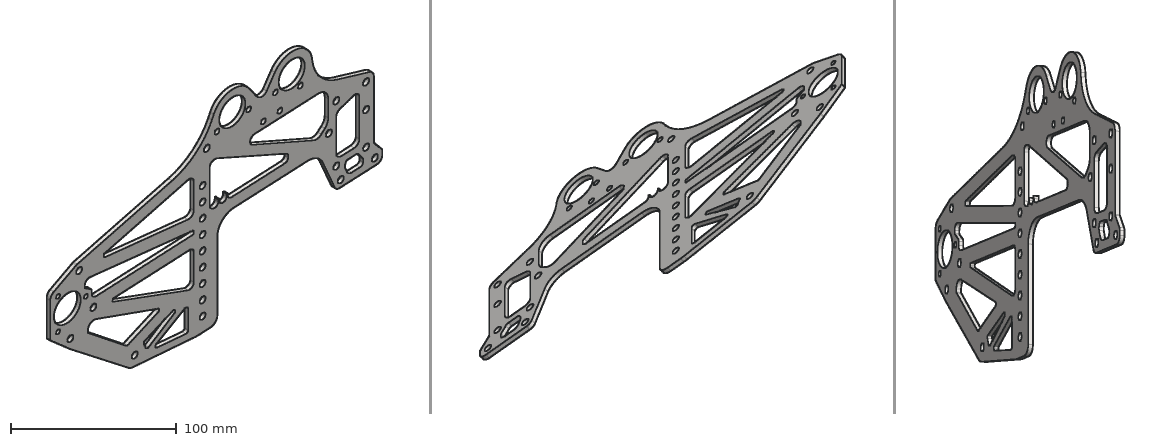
import cadquery as cq
import math

LENGTH = 283.88
HEIGHT = 174.53
THICKNESS = 3.17
FRONT = -LENGTH / 2
REAR = LENGTH / 2
TOP = HEIGHT / 2
BOTTOM = -HEIGHT / 2

SMALL_HOLE = 3.45
MEDIUM_HOLE = 4.04
SPINE_HOLE = 4.98
BRACKET_HOLE = 5.11
LUG_BORE = 22.23
REAR_BORE = 22.86

SAME_POINT = 1e-6

PITCH = 12.7

SPINE_U = 11.7
SPINE_HOLE_COUNT = 9
SPINE_TOP_V = BOTTOM + SPINE_HOLE_COUNT * PITCH
SPINE_FRONT_EDGE = SPINE_U - PITCH

LUG_RADIUS = 17.46
LUG_V = TOP - LUG_RADIUS
REAR_LUG_U = SPINE_U - 2 * PITCH
FRONT_LUG_U = REAR_LUG_U - 4 * PITCH
LUG_SCREW_RADIUS = 15.24
FRONT_LUG_SCREW_ANGLES = (241, 336)
REAR_LUG_SCREW_ANGLES = (204, 329)

BEARING_U = 127.3
BEARING_V = -1.6
BEARING_SCREW_RADIUS = 15.9
BEARING_SCREW_ANGLES = (60, 180, 300)

BRACKET_REAR_U = SPINE_U - 9 * PITCH
BRACKET_FRONT_U = BRACKET_REAR_U - 2 * PITCH
BRACKET_MID_DROP = 21.6
BRACKET_MID_V = SPINE_TOP_V - BRACKET_MID_DROP
BRACKET_LOW_V = SPINE_TOP_V - 4 * PITCH
FOOT_HOLE_V = BRACKET_LOW_V - PITCH
FOOT_FRONT_MARGIN = 6.4
FOOT_BOTTOM_MARGIN = 6.0
FOOT_FRONT_U = FRONT + FOOT_FRONT_MARGIN
FOOT_REAR_U = -106.4
FOOT_BOTTOM = FOOT_HOLE_V - FOOT_BOTTOM_MARGIN
BRACKET_EDGE_MARGIN = 6.7
BRACKET_EDGE = BRACKET_FRONT_U - BRACKET_EDGE_MARGIN

BODY_BELLY = -5.6
BODY_POCKET_TOP = 41.5
BODY_POCKET_FLOOR = 3.8
BODY_POCKET_REAR = SPINE_U - 6.2
WING_POCKET_FRONT = SPINE_U + 7.5
WING_RIB_TOP = -6.4
WING_RIB_BOTTOM = -16.7

TOOTH_HEIGHT = 4.7
TOOTH_WIDTH = 1.0
TOOTH_FILLET = 3.0
REAR_TOOTH_U = -2.1
TOOTH_PITCH = 7.2


def unit_toward(start, end):
    """Unit vector pointing from start to end."""
    du = end[0] - start[0]
    dv = end[1] - start[1]
    distance = math.hypot(du, dv)
    return du / distance, dv / distance


def rounded_outline(corners):
    """Closed wire through sharp corners (u, v, radius); each corner is rounded, radius 0 stays sharp."""
    stretches = []
    for i, (u, v, radius) in enumerate(corners):
        corner = (u, v)
        if radius == 0:
            stretches.append((corner, None, corner))
            continue
        back = unit_toward(corner, corners[i - 1])
        ahead = unit_toward(corner, corners[(i + 1) % len(corners)])
        half_angle = math.acos(back[0] * ahead[0] + back[1] * ahead[1]) / 2
        setback = radius / math.tan(half_angle)
        apex_distance = radius / math.sin(half_angle) - radius
        bisector = unit_toward((0, 0), (back[0] + ahead[0], back[1] + ahead[1]))
        arc_start = (u + back[0] * setback, v + back[1] * setback)
        arc_middle = (u + bisector[0] * apex_distance, v + bisector[1] * apex_distance)
        arc_end = (u + ahead[0] * setback, v + ahead[1] * setback)
        stretches.append((arc_start, arc_middle, arc_end))

    last_point = stretches[0][2]
    wire = plate_plane().moveTo(*last_point)
    for start, middle, end in stretches[1:] + stretches[:1]:
        if math.dist(last_point, start) > SAME_POINT:
            wire = wire.lineTo(*start)
        if middle is not None:
            wire = wire.threePointArc(middle, end)
        last_point = end
    return wire.close()


def plate_plane():
    """Workplane on the +X face, drawn in (u, v) and extruded toward -X."""
    return cq.Workplane(cq.Plane(origin=(THICKNESS / 2, 0, 0), xDir=(0, -1, 0), normal=(-1, 0, 0)))


def polar(center_u, center_v, radius, degrees):
    angle = math.radians(degrees)
    return center_u + radius * math.cos(angle), center_v + radius * math.sin(angle)


def tangent_spread(lug_u, point):
    """Direction from lug center to an outside point, and the angle on to its tangent's touch point."""
    du = point[0] - lug_u
    dv = point[1] - LUG_V
    direction = math.degrees(math.atan2(dv, du)) % 360
    spread = math.degrees(math.acos(LUG_RADIUS / math.hypot(du, dv)))
    return direction, spread


def lug_corners(lug_u, rear_point, front_point):
    """Two corners that round into the lug's rim and meet at its top, between its neighbours."""
    rear_direction, rear_spread = tangent_spread(lug_u, rear_point)
    front_direction, front_spread = tangent_spread(lug_u, front_point)
    rear_touch = rear_direction + rear_spread - 360
    front_touch = front_direction - front_spread
    top = 90
    corners = []
    for first, second in ((rear_touch, top), (top, front_touch)):
        reach = LUG_RADIUS / math.cos(math.radians(second - first) / 2)
        corner = polar(lug_u, LUG_V, reach, (first + second) / 2)
        corners.append((*corner, LUG_RADIUS))
    return corners


def plate_blank():
    front_bracket = [
        (BRACKET_EDGE, 31.7, 6.0),
        (BRACKET_EDGE, -24.0, 1.0),
        (FRONT, -33.5, 3.0),
        (FRONT, FOOT_BOTTOM, 4.8),
        (-102.3, FOOT_BOTTOM, 4.4),
    ]
    belly_and_spine = [
        (-87.4, BODY_BELLY, 14.2),
        (SPINE_FRONT_EDGE, BODY_BELLY, 14.0),
        (SPINE_FRONT_EDGE, BOTTOM, 6.3),
        (16.8, BOTTOM, 20.0),
    ]
    rear_wing = [
        (73.5, -79.6, 7.0),
        (125.2, -34.6, 9.0),
        (REAR, -18.4, 0),
        (REAR, 16.3, 5.6),
        (119.3, 27.7, 4.0),
    ]
    rear_flank = (14.0, 51.3, 49.5)
    valley = ((FRONT_LUG_U + REAR_LUG_U) / 2, 63.3, 4.7)
    front_flank = (-84.8, 49.9, 32.6)
    lugs = [rear_flank]
    lugs += lug_corners(REAR_LUG_U, rear_flank, valley)
    lugs += [valley]
    lugs += lug_corners(FRONT_LUG_U, valley, front_flank)
    lugs += [front_flank]
    return rounded_outline(front_bracket + belly_and_spine + rear_wing + lugs).extrude(THICKNESS)


def clip_tooth(tooth_u):
    """Corners of one tooth on the pocket floor, from rear to front."""
    rear_side = tooth_u + TOOTH_WIDTH / 2
    front_side = tooth_u - TOOTH_WIDTH / 2
    tip = BODY_POCKET_FLOOR + TOOTH_HEIGHT
    return [
        (rear_side, BODY_POCKET_FLOOR, TOOTH_FILLET),
        (rear_side, tip, 0),
        (front_side, tip, 0),
        (front_side, BODY_POCKET_FLOOR, TOOTH_FILLET),
    ]


def body_pockets():
    front_edge = -95.6
    front_pocket = [
        (front_edge, BODY_POCKET_TOP, 8.8),
        (-16.6, BODY_POCKET_TOP, 3.9),
        (-86.6, 5.7, 5.9),
        (front_edge, 13.8, 8.7),
    ]
    tip_u = -61.4
    rear_pocket = [
        (tip_u, BODY_POCKET_FLOOR, 3.0),
        (tip_u, 9.7, 2.5),
        (0.2, BODY_POCKET_TOP, 5.0),
        (BODY_POCKET_REAR, BODY_POCKET_TOP, 3.5),
        (BODY_POCKET_REAR, BODY_POCKET_FLOOR, 4.0),
    ]
    rear_pocket += clip_tooth(REAR_TOOTH_U)
    rear_pocket += clip_tooth(REAR_TOOTH_U - TOOTH_PITCH)
    return [front_pocket, rear_pocket]


def bracket_pockets():
    window_front = -122.2
    window_rear = -102.5
    window_floor = -18.4
    window = [
        (window_front, 24.0, 3.8),
        (window_rear, 18.0, 4.6),
        (window_rear, window_floor, 4.5),
        (window_front, window_floor, 4.5),
    ]
    foot_top = -24.4
    foot_floor = -36.3
    foot_opening = [
        (-120.8, foot_top, 2.7),
        (-111.2, foot_top, 1.0),
        (-109.6, -28.1, 3.4),
        (-112.8, foot_floor, 4.2),
        (-125.4, foot_floor, 2.5),
        (-125.4, -31.2, 1.4),
    ]
    return [window, foot_opening]


def wing_pockets():
    top_tip_u = 96.2
    top_pocket = [
        (WING_POCKET_FRONT, 39.7, 4.1),
        (top_tip_u, 22.4, 1.6),
        (top_tip_u, 19.7, 1.5),
        (WING_POCKET_FRONT, 7.1, 4.4),
    ]
    bearing_side = 112.3
    screw_side = 106.3
    middle_pocket = [
        (WING_POCKET_FRONT, -3.4, 1.2),
        (bearing_side, 12.0, 3.8),
        (bearing_side, 5.2, 1.2),
        (screw_side, 0.9, 2.0),
        (screw_side, WING_RIB_TOP, 3.7),
        (WING_POCKET_FRONT, WING_RIB_TOP, 1.2),
    ]
    lower_pocket = [
        (WING_POCKET_FRONT, WING_RIB_BOTTOM, 3.5),
        (88.8, WING_RIB_BOTTOM, 1.0),
        (88.4, -19.1, 1.0),
        (WING_POCKET_FRONT, -49.4, 3.7),
    ]
    lower_rear_edge = 109.6
    lower_rear_pocket = [
        (lower_rear_edge, -21.4, 4.8),
        (lower_rear_edge, -31.1, 0.8),
        (76.5, -60.4, 1.0),
        (46.6, -48.2, 1.4),
    ]
    return [top_pocket, middle_pocket, lower_pocket, lower_rear_pocket]


def tail_pockets():
    slot = [
        (36.1, -55.2, 1.0),
        (62.3, -65.8, 1.1),
        (59.5, -73.0, 1.6),
        (34.6, -57.5, 1.0),
    ]
    front_edge = 24.1
    triangle = [
        (front_edge, -58.2, 2.0),
        (52.1, -73.9, 1.0),
        (51.8, -76.3, 1.5),
        (front_edge, -80.3, 1.8),
    ]
    return [slot, triangle]


def spine_holes():
    return [(SPINE_U, SPINE_TOP_V - i * PITCH) for i in range(SPINE_HOLE_COUNT)]


def bracket_holes():
    column_us = (BRACKET_FRONT_U, BRACKET_REAR_U)
    holes = [(u, v) for u in column_us for v in (SPINE_TOP_V, BRACKET_LOW_V)]
    holes += [(BRACKET_FRONT_U, BRACKET_MID_V), (BRACKET_REAR_U + PITCH / 2, BRACKET_MID_V)]
    holes += [(FOOT_FRONT_U, FOOT_HOLE_V), (FOOT_REAR_U, FOOT_HOLE_V)]
    return holes


def upper_body_holes():
    """Screw holes around the two lugs and the pair between the body pockets and the lugs."""
    holes = [polar(FRONT_LUG_U, LUG_V, LUG_SCREW_RADIUS, angle) for angle in FRONT_LUG_SCREW_ANGLES]
    holes += [polar(REAR_LUG_U, LUG_V, LUG_SCREW_RADIUS, angle) for angle in REAR_LUG_SCREW_ANGLES]
    pair_v = 47.1
    holes += [(-54.4, pair_v), (-40.2, pair_v)]
    return holes


def frame_holes():
    """Mounting holes behind the rear lug and around the rear wing."""
    return [(8.1, 53.9), (117.2, 21.8), (105.0, -13.8), (124.6, -26.8), (69.7, -71.3)]


def bearing_screw_holes():
    return [polar(BEARING_U, BEARING_V, BEARING_SCREW_RADIUS, angle) for angle in BEARING_SCREW_ANGLES]


def drilled(centers, diameter):
    return plate_plane().pushPoints(centers).circle(diameter / 2).extrude(THICKNESS)


result = plate_blank()

for pocket in body_pockets() + bracket_pockets() + wing_pockets() + tail_pockets():
    result = result.cut(rounded_outline(pocket).extrude(THICKNESS))

result = result.cut(drilled([(FRONT_LUG_U, LUG_V), (REAR_LUG_U, LUG_V)], LUG_BORE))
result = result.cut(drilled([(BEARING_U, BEARING_V)], REAR_BORE))
result = result.cut(drilled(spine_holes() + frame_holes(), SPINE_HOLE))
result = result.cut(drilled(bracket_holes(), BRACKET_HOLE))
result = result.cut(drilled(upper_body_holes(), MEDIUM_HOLE))
result = result.cut(drilled(bearing_screw_holes(), SMALL_HOLE))